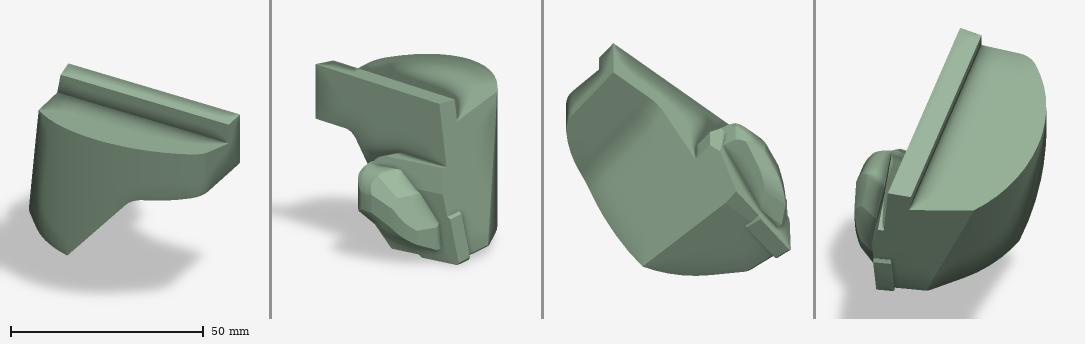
import cadquery as cq
import math


LENGTH = 59.5
ARC_RADIUS = 32.0
ARC_CENTER_X = 34.5
ARC_CENTER_Y = 0.6
TANGENT_X = 10.3
CORNER_RADIUS = 7.5

RAIL_TOP = 41.65
RAIL_THICKNESS = 5.95
LEDGE_Z = 36.0
TOP_SLOPE = math.tan(math.radians(15.1))
BOTTOM_REAR_Z = 0.7
BOTTOM_SLOPE = math.tan(math.radians(6.7))

SHELF_Z = 27.0
CUTAWAY_START_X = 22.1
CUTAWAY_CORNER_X = 44.4
CUTAWAY_FILLET = 5.95

LEFT_X = 0.6
LEFT_PER_Y = -0.19
LEFT_PER_Z = 0.18
LOWER_CHAMFER_POINT = (3.6, -11.85, 2.3)

RAKE_PER_X = 0.21
RAKE_PER_Z = 0.1
RIDGE_Z = 18.75
LEAN_PER_Z = -0.21
SEAT_TOP = 25.35
SEAT_END_X = 31.9
SEAT_FLAT_END_X = 25.35
SEAT_DROP_Z = 18.7
SEAT_TOP_FILLET = 4.75
SEAT_CHAMFER_START_X = 29.15
SEAT_CHAMFER_START_Y = 7.5
SEAT_CHAMFER_END_Y = 5.85

CLAMP_REAR_Y = 13.3
CLAMP_TIP_X = 5.55
CLAMP_END_X = 29.15
CLAMP_TOP = 22.8
CLAMP_BOTTOM = 3.5
CLAMP_ROUND_DIAMETER = 5.2
CLAMP_TOP_EDGE_POINT = (20.8, 5.95, CLAMP_TOP)
CLAMP_TOP_FACETS = [
    [(19.95, 7.5, 22.6), (20.6, 10.4, 21.4), (13.8, 5.95, 18.85)],
    [(20.6, 10.4, 21.4), (13.8, 8.85, 17.55), (14.7, 11.8, 14.8)],
    [(13.8, 8.85, 17.55), (7.9, 7.5, 8.9), (7.0, 2.75, 12.5)],
]
CLAMP_UNDERSIDE = [(12.5, 0.0, CLAMP_BOTTOM), (12.5, 5.95, CLAMP_BOTTOM), (CLAMP_END_X, 0.0, 13.7)]

INSERT_SHIFT = (0.95, -4.5, 0.55)
INSERT_CORNERS = [
    (0.0, 0.65), (0.55, 0.0), (12.2, 0.0), (13.55, 1.15),
    (15.65, 12.1), (15.0, 12.85), (2.5, 12.85), (1.65, 12.3),
]

TOOL_SIZE = 178.5


def half_space(point, normal):
    """Large block on the side of a plane that its normal points to."""
    plane = cq.Plane(origin=point, normal=normal)
    return cq.Workplane(plane).rect(TOOL_SIZE, TOOL_SIZE).extrude(TOOL_SIZE)


def space_beyond_facet(points, upward):
    """Half space above or below the plane through three points."""
    first, second, third = [cq.Vector(*point) for point in points]
    normal = (second - first).cross(third - first)
    if (normal.z > 0) != upward:
        normal = -normal
    return half_space(first, normal)


def make_front_body():
    """Rounded front and upright rail, with the left flank run on past the end cut."""
    tangent_y = ARC_CENTER_Y - math.sqrt(ARC_RADIUS**2 - (ARC_CENTER_X - TANGENT_X)**2)
    flank_slope = -(ARC_CENTER_X - TANGENT_X) / (ARC_CENTER_Y - tangent_y)
    flank_end_x = -LENGTH / 10
    flank_end_y = tangent_y + flank_slope * (flank_end_x - TANGENT_X)
    blend_x = LENGTH - CORNER_RADIUS
    blend_reach = ARC_RADIUS - CORNER_RADIUS
    blend_y = ARC_CENTER_Y - math.sqrt(blend_reach**2 - (blend_x - ARC_CENTER_X)**2)
    touch_x = ARC_CENTER_X + (blend_x - ARC_CENTER_X) * ARC_RADIUS / blend_reach
    touch_y = ARC_CENTER_Y + (blend_y - ARC_CENTER_Y) * ARC_RADIUS / blend_reach
    blend_angle = math.atan2(blend_y - ARC_CENTER_Y, blend_x - ARC_CENTER_X) / 2
    front_y = ARC_CENTER_Y - ARC_RADIUS
    plan = (
        cq.Workplane("XY")
        .moveTo(flank_end_x, 0)
        .lineTo(flank_end_x, flank_end_y)
        .lineTo(TANGENT_X, tangent_y)
        .threePointArc((ARC_CENTER_X, front_y), (touch_x, touch_y))
        .threePointArc(
            (blend_x + CORNER_RADIUS * math.cos(blend_angle), blend_y + CORNER_RADIUS * math.sin(blend_angle)),
            (LENGTH, blend_y),
        )
        .lineTo(LENGTH, 0)
        .close()
        .extrude(LENGTH)
    )
    side = (
        cq.Workplane("YZ", origin=(flank_end_x, 0, 0))
        .polyline([
            (0, BOTTOM_REAR_Z),
            (0, RAIL_TOP),
            (-RAIL_THICKNESS, RAIL_TOP),
            (-RAIL_THICKNESS, LEDGE_Z),
            (front_y, LEDGE_Z + TOP_SLOPE * (-RAIL_THICKNESS - front_y)),
            (front_y, BOTTOM_REAR_Z - BOTTOM_SLOPE * front_y),
        ])
        .close()
        .extrude(2 * LENGTH)
    )
    return plan.intersect(side)


def make_seat():
    """Block behind the rail, with the inclined face that carries insert and clamp."""
    block = (
        cq.Workplane("XZ")
        .polyline([
            (-SEAT_END_X, BOTTOM_REAR_Z),
            (-SEAT_END_X, SEAT_TOP),
            (SEAT_FLAT_END_X, SEAT_TOP),
            (SEAT_END_X, SEAT_DROP_Z),
            (SEAT_END_X, BOTTOM_REAR_Z),
        ])
        .close()
        .extrude(-CLAMP_REAR_Y)
        .edges(cq.selectors.NearestToPointSelector((SEAT_FLAT_END_X, CLAMP_REAR_Y / 2, SEAT_TOP)))
        .fillet(SEAT_TOP_FILLET)
    )
    ridge_point = (0, RAKE_PER_Z * RIDGE_Z, RIDGE_Z)
    block = block.cut(half_space(ridge_point, (-RAKE_PER_X, 1, -RAKE_PER_Z)))
    block = block.cut(half_space(ridge_point, (-RAKE_PER_X, 1, -LEAN_PER_Z)))
    chamfer_normal = (SEAT_CHAMFER_START_Y - SEAT_CHAMFER_END_Y, SEAT_END_X - SEAT_CHAMFER_START_X, 0)
    return block.cut(half_space((SEAT_END_X, SEAT_CHAMFER_END_Y, 0), chamfer_normal))


def make_cutaway():
    """Space below the overhanging right end, with a rounded inner corner."""
    return (
        cq.Workplane("XZ", origin=(0, LENGTH, 0))
        .polyline([
            (CUTAWAY_START_X, BOTTOM_REAR_Z),
            (CUTAWAY_CORNER_X, SHELF_Z),
            (2 * LENGTH, SHELF_Z),
            (2 * LENGTH, -LENGTH),
            (CUTAWAY_START_X, -LENGTH),
        ])
        .close()
        .extrude(2 * LENGTH)
        .edges(cq.selectors.NearestToPointSelector((CUTAWAY_CORNER_X, 0, SHELF_Z)))
        .fillet(CUTAWAY_FILLET)
    )


def make_clamp():
    """Faceted lump leaning over the insert: two crossed outlines trimmed by facets."""
    plan = (
        cq.Workplane("XY")
        .moveTo(CLAMP_TIP_X, 0)
        .lineTo(CLAMP_TIP_X, 3.1)
        .lineTo(7.9, 7.5)
        .threePointArc((11.05, 10.1), (14.7, 11.8))
        .lineTo(19.65, CLAMP_REAR_Y)
        .lineTo(23.5, CLAMP_REAR_Y)
        .threePointArc((26.0, 12.6), (27.6, 11.1))
        .lineTo(CLAMP_END_X, 6.1)
        .lineTo(CLAMP_END_X, 0)
        .close()
        .extrude(LENGTH)
    )
    side = (
        cq.Workplane("YZ")
        .moveTo(0, CLAMP_BOTTOM)
        .lineTo(3.0, CLAMP_BOTTOM)
        .lineTo(7.5, 5.1)
        .threePointArc((9.5, 6.4), (10.9, 8.05))
        .lineTo(CLAMP_REAR_Y, 12.3)
        .lineTo(CLAMP_REAR_Y, 16.85)
        .threePointArc((12.0, 19.9), (8.9, 22.15))
        .lineTo(5.7, CLAMP_TOP)
        .lineTo(0, CLAMP_TOP)
        .close()
        .extrude(LENGTH)
    )
    lump = plan.intersect(side)
    for points in CLAMP_TOP_FACETS:
        lump = lump.cut(space_beyond_facet(points, upward=True))
    lump = lump.cut(space_beyond_facet(CLAMP_UNDERSIDE, upward=False))
    top_edge = cq.selectors.NearestToPointSelector(CLAMP_TOP_EDGE_POINT)
    return lump.edges(top_edge).fillet(CLAMP_ROUND_DIAMETER / 2)


def make_insert():
    """Cutting insert lying on the rake plane."""
    corners = [cq.Vector(x, RAKE_PER_X * x + RAKE_PER_Z * z, z) for x, z in INSERT_CORNERS]
    rear_face = cq.Face.makeFromWires(cq.Wire.makePolygon(corners, close=True))
    return cq.Workplane(cq.Solid.extrudeLinear(rear_face, cq.Vector(*INSERT_SHIFT)))


def make_holder(insert):
    """Holder with its clamp and the pocket that fits the insert."""
    left_end = half_space((LEFT_X, 0, 0), (-1, LEFT_PER_Y, LEFT_PER_Z))
    edge_run_x = LEFT_PER_Y - BOTTOM_SLOPE * LEFT_PER_Z
    lower_edge = half_space(LOWER_CHAMFER_POINT, (-1, edge_run_x - BOTTOM_SLOPE, -1))
    body = make_front_body().union(make_seat())
    body = body.cut(make_cutaway()).cut(left_end).cut(lower_edge)
    return body.union(make_clamp()).cut(insert)


insert = make_insert()
holder = make_holder(insert)
result = cq.Compound.makeCompound([holder.solids().val(), insert.val()])